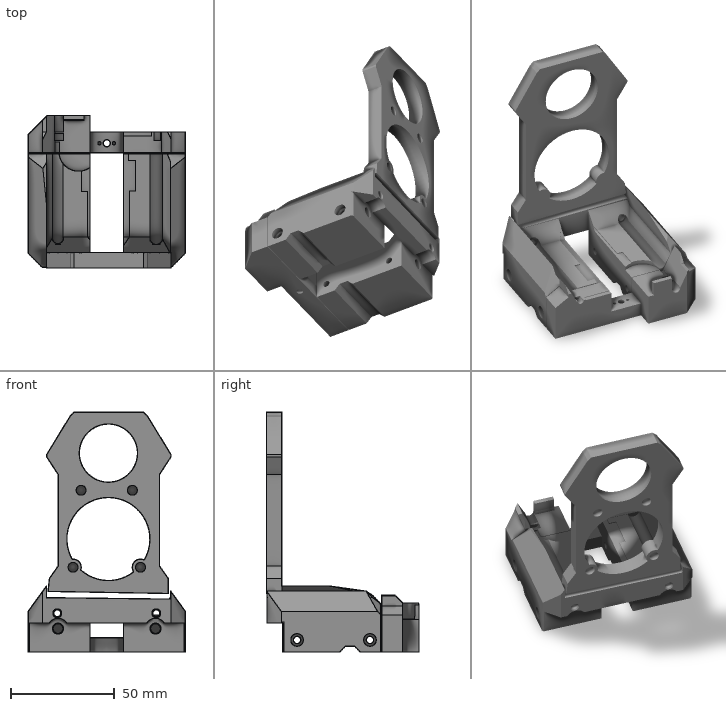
import cadquery as cq

half_width = 38.0
channel_half = 8.0
rod_x = 23.9
rod_z = 18.8
floor_z = 18.2
low_floor_z = 15.75
rear_bevel_base_z = 18.0
rear_bevel_slope = 0.6
rear_flank_slope = 2.0
left, right = -1, 1

plate_center_x = 1.0
plate_thickness = 7.5
plate_top_z = 115.91
plate_top_half = 16.8
plate_corner_half = 18.6
plate_corner_z = 114.2
plate_tip_half = 30.1
plate_tip_z = 94.9
plate_tip_flat = 1.0
plate_neck_half = 24.5
plate_neck_top_z = 85.8
plate_neck_bottom_z = 41.65
plate_foot_half = 28.75
plate_foot_z = 35.6
plate_bottom_left = (-28.4, 29.3)
plate_bottom_right_z = 28.3
window_x = 0.8
upper_window_diameter = 28.0
upper_window_z = 96.16
lower_window_diameter = 40.0
lower_window_z = 54.66
plate_hole_diameter = 4.74
plate_hole_depth = 6.0
upper_hole_x = 12.4
upper_hole_z = 78.2
lower_hole_x = 16.3
lower_hole_z = 41.0
lug_diameter = 8.0

cradle_front_y = 0.3
block_front_y = 7.8
cradle_rear_y = 55.3
wing_base_z = 19.7
wing_top_z = 32.0
wing_slope = 1.38
opening_left_x = -29.1
opening_right_x = 30.8
left_floor_edge = 26.0
right_floor_edge = 26.4
left_flank_slope = 1.65
right_flank_slope = 1.85
bar_bottom_z = 14.1
bar_rear_y = 7.6
bar_left_top_z = 26.4
bar_right_top_z = 25.7
ramp_foot_y = 15.0
ramp_top_z = floor_z + ramp_foot_y - bar_rear_y
ramp_overlap = 1.0
wing_corner_chamfer = 6.9
block_edge_chamfer = 0.8
block_edge_top_z = 14.6
wing_fall_start_y = 30.5
wing_fall_inward = 0.7
wing_fall_rearward = 0.21
wing_bevel_y = 53.7
wing_bevel_skew = 0.6
left_rod_groove_x = -23.6
left_rod_groove_diameter = 5.2
right_rod_groove_diameter = 6.0
groove_front_y = 11.5
bar_hole_diameter = 3.3
bar_hole_mouth = 4.3
bar_hole_mouth_depth = 0.5
pin_hole_x = 23.55
pin_hole_z = 11.4
pin_hole_diameter = 4.7
pin_hole_mouth = 5.3
pin_hole_mouth_depth = 0.3
pin_hole_depth = 10.0
bar_relief_diameter = 10.0
side_hole_z = 5.9
side_hole_ys = (14.85, 50.05)
side_hole_diameter = 3.4
side_bore_diameter = 6.1
side_bore_depth = 3.0
notch_center_y = 40.4
notch_half_bottom = 5.0
notch_half_top = 2.2
notch_height = 2.86
floor_step = 0.5
left_step_x = -9.2
right_step_x = 10.9
left_step_tip_y = 13.4
right_step_tip_y = 10.7
left_wide_step_x = -12.1
right_wide_step_x = 13.95
right_rear_step_x = 10.4
left_wide_step_y = 37.0
right_wide_step_ys = (37.3, 52.0)
scoop_center = (-13.6, 56.3)
scoop_radius = 9.5

rear_front_y = 55.65
rear_step_y = 65.8
rear_end_y = 73.8
bridge_top_z = 7.0
hump_x = 31.0
rear_right_floor_z = 18.0
left_flank_foot = 25.05
right_flank_foot = 26.4
hump_low_z = 23.9
lip_edge_z = 23.3
lip_bevel_width = 2.0
rear_corner_chamfer = 9.3
tab_left_x = -20.8
tab_right_x = -11.0
tab_depth = 2.1
tab_top_z = 22.7
tab_foot_height = 1.7
tab_foot_spread = 0.3
ledge_end_x = 21.5
ledge_depth = 0.3
bridge_hole_y = 60.3
bridge_hole_diameter = 3.3
pilot_spacing = 3.5
pilot_diameter = 1.6
pilot_depth = 5.0
left_groove_x = -23.1
left_groove_diameter = 4.2
head_pocket_ys = (61.6, 65.0)
shank_groove_diameter = 2.0
shank_groove_ys = (rear_front_y, 61.0)
right_pocket_x = 24.4
right_pocket_diameter = 3.2


def prism_along_y(points, y_start, y_end):
    """Extrude an (X, Z) outline from y_start to y_end."""
    return cq.Workplane("XZ", origin=(0, y_start, 0)).polyline(points).close().extrude(y_start - y_end)


def prism_along_x(points, x_start, x_end):
    """Extrude a (Y, Z) outline from x_start to x_end."""
    return cq.Workplane("YZ", origin=(x_start, 0, 0)).polyline(points).close().extrude(x_end - x_start)


def prism_along_z(points, z_start, z_end):
    """Extrude an (X, Y) outline from z_start to z_end."""
    return cq.Workplane("XY", origin=(0, 0, z_start)).polyline(points).close().extrude(z_end - z_start)


def box(x_range, y_range, z_range):
    """A box given by its limits along each axis."""
    sizes = [high - low for low, high in (x_range, y_range, z_range)]
    corner = (x_range[0], y_range[0], z_range[0])
    return cq.Workplane("XY").box(*sizes, centered=False).translate(corner)


def rod_along_y(x, z, diameter, y_start, y_end):
    """A round rod parallel to Y."""
    return cq.Workplane("XZ", origin=(x, y_start, z)).circle(diameter / 2).extrude(y_start - y_end)


def mouth_along_y(x, z, mouth_diameter, hole_diameter, y_start, depth):
    """A cone that narrows from the mouth of a hole to its bore."""
    cone = cq.Solid.makeCone(
        mouth_diameter / 2, hole_diameter / 2, depth, cq.Vector(x, y_start, z), cq.Vector(0, 1, 0)
    )
    return cq.Workplane(cone)


def build_plate():
    """Upright plate with two round windows and four blind holes."""
    half_outline = [
        (plate_neck_half, plate_neck_bottom_z),
        (plate_neck_half, plate_neck_top_z),
        (plate_tip_half, plate_tip_z - plate_tip_flat / 2),
        (plate_tip_half, plate_tip_z + plate_tip_flat / 2),
        (plate_corner_half, plate_corner_z),
        (plate_top_half, plate_top_z),
    ]
    right_side = [(plate_center_x + x, z) for x, z in half_outline]
    left_side = [(plate_center_x - x, z) for x, z in reversed(half_outline)]
    foot_left = plate_center_x - plate_foot_half
    foot_right = plate_center_x + plate_foot_half
    outline = [plate_bottom_left, (foot_right, plate_bottom_right_z), (foot_right, plate_foot_z)]
    outline += right_side + left_side
    outline.append((foot_left, plate_foot_z))
    plate = prism_along_y(outline, 0, plate_thickness)

    plate = plate.cut(rod_along_y(window_x, upper_window_z, upper_window_diameter, 0, plate_thickness))
    plate = plate.cut(rod_along_y(window_x, lower_window_z, lower_window_diameter, 0, plate_thickness))
    for side in (left, right):
        plate = plate.union(rod_along_y(side * lower_hole_x, lower_hole_z, lug_diameter, 0, plate_thickness))
    for side in (left, right):
        for x, z in ((upper_hole_x, upper_hole_z), (lower_hole_x, lower_hole_z)):
            plate = plate.cut(rod_along_y(side * x, z, plate_hole_diameter, 0, plate_hole_depth))
    return plate


def ramp_prism(x_start, x_end):
    """Ramp that rises at 45 degrees from the cradle floor to the rear of the front bar."""
    outline = [
        (cradle_front_y, floor_z),
        (ramp_foot_y, floor_z),
        (bar_rear_y, ramp_top_z),
        (cradle_front_y, ramp_top_z),
    ]
    return prism_along_x(outline, x_start, x_end)


def cradle_side(side, opening_x, floor_edge, flank_slope):
    """One block of the cradle with its wing, rising to the opening beside the plate."""
    opening = abs(opening_x)
    flank_top_z = floor_z + flank_slope * (opening - floor_edge)
    ridge_z = wing_base_z + wing_slope * (half_width - opening)
    outline = [
        (channel_half, 0),
        (half_width, 0),
        (half_width, wing_base_z),
        (opening, ridge_z),
        (opening, flank_top_z),
        (floor_edge, floor_z),
        (channel_half, floor_z),
    ]
    block = prism_along_y([(side * x, z) for x, z in outline], cradle_front_y, cradle_rear_y)

    ramp = ramp_prism(side * channel_half, side * (opening + ramp_overlap))
    return block.union(ramp)


def cut_cradle_corners(cradle, side):
    """Upright chamfers at the front, and the bevel that slopes the rear end of a wing."""
    outer = side * half_width
    wing_corner = [
        (outer, cradle_front_y),
        (outer - side * wing_corner_chamfer, cradle_front_y),
        (outer, cradle_front_y + wing_corner_chamfer),
    ]
    cradle = cradle.cut(prism_along_z(wing_corner, 0, wing_top_z))
    block_edge = [
        (outer, block_front_y),
        (outer - side * block_edge_chamfer, block_front_y),
        (outer, block_front_y + block_edge_chamfer),
    ]
    cradle = cradle.cut(prism_along_z(block_edge, 0, block_edge_top_z))

    bevel_plane = cq.Plane(
        origin=(outer, wing_bevel_y, wing_base_z), xDir=(0, 1, -1), normal=(side * wing_bevel_skew, 1, 1)
    )
    reach = 2 * half_width
    return cradle.cut(cq.Workplane(bevel_plane).rect(reach, reach).extrude(reach))


def cut_wing_fall(cradle):
    """Slope the rear of the left wing top down towards the opening and the rear."""
    fall_plane = cq.Plane(
        origin=(opening_left_x, wing_fall_start_y, wing_top_z),
        xDir=(0, 1, -wing_fall_rearward),
        normal=(wing_fall_inward, wing_fall_rearward, 1),
    )
    reach = 2 * half_width
    above_fall = cq.Workplane(fall_plane).rect(reach, reach).extrude(reach)
    left_wing = box((-half_width, opening_left_x), (wing_fall_start_y, cradle_rear_y), (0, wing_top_z))
    return cradle.cut(above_fall.intersect(left_wing))


def cut_floor_steps(cradle):
    """Shallow steps along the channel edges and the round scoop in the left floor."""
    step_z = (floor_z - floor_step, floor_z)
    steps = [
        ((left_step_x, -channel_half), (ramp_foot_y, left_wide_step_y)),
        ((left_wide_step_x, -channel_half), (left_wide_step_y, cradle_rear_y)),
        ((channel_half, right_step_x), (ramp_foot_y, right_wide_step_ys[0])),
        ((channel_half, right_wide_step_x), right_wide_step_ys),
        ((channel_half, right_rear_step_x), (right_wide_step_ys[1], cradle_rear_y)),
    ]
    for x_range, y_range in steps:
        cradle = cradle.cut(box(x_range, y_range, step_z))
    for edge_x, step_x, tip_y in (
        (-channel_half, left_step_x, left_step_tip_y),
        (channel_half, right_step_x, right_step_tip_y),
    ):
        corner = [(edge_x, tip_y), (edge_x, ramp_foot_y), (step_x, ramp_foot_y)]
        lowered_ramp = ramp_prism(edge_x, step_x).translate((0, 0, -floor_step))
        cradle = cradle.cut(prism_along_z(corner, floor_z - floor_step, ramp_top_z).cut(lowered_ramp))
    scoop = cq.Workplane("XY", origin=(*scoop_center, low_floor_z)).circle(scoop_radius)
    return cradle.cut(scoop.extrude(floor_z - low_floor_z))


def cut_side_holes(cradle):
    """Cross holes through both blocks, counterbored at the outer sides."""
    for y in side_hole_ys:
        for start, length, diameter in (
            (-half_width, 2 * half_width, side_hole_diameter),
            (-half_width, side_bore_depth, side_bore_diameter),
            (half_width - side_bore_depth, side_bore_depth, side_bore_diameter),
        ):
            hole = cq.Workplane("YZ", origin=(start, y, side_hole_z)).circle(diameter / 2)
            cradle = cradle.cut(hole.extrude(length))
    return cradle


def build_cradle():
    """Left and right blocks joined by the front bar."""
    cradle = cradle_side(left, opening_left_x, left_floor_edge, left_flank_slope)
    cradle = cradle.union(cradle_side(right, opening_right_x, right_floor_edge, right_flank_slope))
    bar_outline = [
        (opening_left_x, bar_bottom_z),
        (opening_right_x, bar_bottom_z),
        (opening_right_x, bar_right_top_z),
        (opening_left_x, bar_left_top_z),
    ]
    cradle = cradle.union(prism_along_y(bar_outline, cradle_front_y, bar_rear_y))

    across = (-half_width, half_width)
    cradle = cradle.cut(box(across, (cradle_front_y, block_front_y), (0, bar_bottom_z)))
    for side in (left, right):
        cradle = cut_cradle_corners(cradle, side)
    cradle = cut_wing_fall(cradle)
    cradle = cut_floor_steps(cradle)

    for x, diameter in (
        (left_rod_groove_x, left_rod_groove_diameter),
        (rod_x, right_rod_groove_diameter),
    ):
        cradle = cradle.cut(rod_along_y(x, rod_z, diameter, groove_front_y, cradle_rear_y))
    for side in (left, right):
        x = side * rod_x
        cradle = cradle.cut(rod_along_y(x, rod_z, bar_hole_diameter, cradle_front_y, ramp_foot_y))
        cradle = cradle.cut(mouth_along_y(
            x, rod_z, bar_hole_mouth, bar_hole_diameter, cradle_front_y, bar_hole_mouth_depth
        ))
        pin_x = side * pin_hole_x
        relief = rod_along_y(pin_x, pin_hole_z, bar_relief_diameter, cradle_front_y, block_front_y)
        cradle = cradle.cut(relief)
        pin_end_y = block_front_y + pin_hole_depth
        cradle = cradle.cut(rod_along_y(pin_x, pin_hole_z, pin_hole_diameter, block_front_y, pin_end_y))
        cradle = cradle.cut(mouth_along_y(
            pin_x, pin_hole_z, pin_hole_mouth, pin_hole_diameter, block_front_y, pin_hole_mouth_depth
        ))

    cradle = cut_side_holes(cradle)
    notch = [
        (notch_center_y - notch_half_bottom, 0),
        (notch_center_y - notch_half_top, notch_height),
        (notch_center_y + notch_half_top, notch_height),
        (notch_center_y + notch_half_bottom, 0),
    ]
    return cradle.cut(prism_along_x(notch, *across))


def rear_side(side, side_floor_z, flank_foot, end_y):
    """One rear block: low bevel outside, hump, and a flank falling to the floor.

    The hump slopes down at 45 degrees to hump_low_z at the rear step. A block that runs on
    behind the step stays at that height.
    """
    bevel_top_z = rear_bevel_base_z + rear_bevel_slope * (half_width - hump_x)
    hump_z = side_floor_z + rear_flank_slope * (hump_x - flank_foot)
    outline = [
        (channel_half, 0),
        (half_width, 0),
        (half_width, rear_bevel_base_z),
        (hump_x, bevel_top_z),
        (hump_x, hump_z),
        (flank_foot, side_floor_z),
        (channel_half, side_floor_z),
    ]
    block = prism_along_y([(side * x, z) for x, z in outline], rear_front_y, end_y)
    rise = hump_z - hump_low_z
    above_hump = [
        (rear_step_y, hump_low_z),
        (rear_step_y - rise, hump_z),
        (end_y, hump_z),
    ]
    if end_y > rear_step_y:
        above_hump.append((end_y, hump_low_z))
    return block.cut(prism_along_x(above_hump, -half_width, half_width))


def build_rear():
    """Rear left and right blocks joined by a low bridge."""
    rear = rear_side(left, low_floor_z, left_flank_foot, rear_end_y)
    rear = rear.union(rear_side(right, rear_right_floor_z, right_flank_foot, rear_step_y))
    bridge = box((-channel_half, channel_half), (rear_front_y, rear_step_y), (0, bridge_top_z))
    rear = rear.union(bridge)

    tab_front_y = rear_end_y - tab_depth
    tab_outline = [
        (rear_end_y, low_floor_z),
        (tab_front_y - tab_foot_spread, low_floor_z),
        (tab_front_y, low_floor_z + tab_foot_height),
        (tab_front_y, tab_top_z),
        (rear_end_y, tab_top_z),
    ]
    tab = prism_along_x(tab_outline, tab_left_x, tab_right_x)
    rear = rear.union(tab)
    ledge_y = (rear_step_y - tab_depth, rear_step_y)
    ledge_z = (rear_right_floor_z - ledge_depth, rear_right_floor_z)
    rear = rear.cut(box((channel_half, ledge_end_x), ledge_y, ledge_z))
    lip_bevel = [
        (-hump_x, lip_edge_z),
        (-hump_x + lip_bevel_width, hump_low_z),
        (-hump_x, hump_low_z),
    ]
    rear = rear.cut(prism_along_y(lip_bevel, rear_step_y, rear_end_y))
    corner = [
        (-half_width, rear_end_y),
        (-half_width, rear_end_y - rear_corner_chamfer),
        (-half_width + rear_corner_chamfer, rear_end_y),
    ]
    rear = rear.cut(prism_along_z(corner, 0, hump_low_z))

    rear = rear.cut(rod_along_y(left_groove_x, low_floor_z, left_groove_diameter, rear_step_y, rear_end_y))
    rear = rear.cut(rod_along_y(left_groove_x, low_floor_z, left_groove_diameter, *head_pocket_ys))
    rear = rear.cut(rod_along_y(-rod_x, low_floor_z, shank_groove_diameter, *shank_groove_ys))
    right_pocket_ys = (head_pocket_ys[0], rear_step_y)
    rear = rear.cut(
        rod_along_y(right_pocket_x, rear_right_floor_z, right_pocket_diameter, *right_pocket_ys)
    )

    bridge_hole = cq.Workplane("XY", origin=(0, bridge_hole_y, 0)).circle(bridge_hole_diameter / 2)
    rear = rear.cut(bridge_hole.extrude(bridge_top_z))
    pilots = cq.Workplane("XY", origin=(0, bridge_hole_y, bridge_top_z))
    pilots = pilots.pushPoints([(-pilot_spacing, 0), (pilot_spacing, 0)]).circle(pilot_diameter / 2)
    return rear.cut(pilots.extrude(-pilot_depth))


plate = build_plate()
cradle = build_cradle()
rear = build_rear()
result = cq.Compound.makeCompound([plate.solids().val(), cradle.solids().val(), rear.solids().val()])